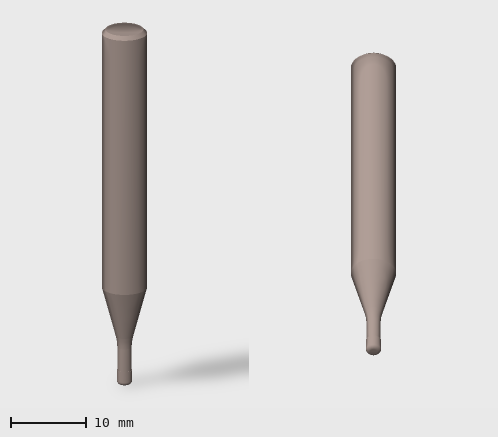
import cadquery as cq
import math

total_length = 50.0
shank_radius = 3.0
shank_chamfer = 0.5
shank_start = 13.65

head_radius = 1.0
head_length = 2.0
head_corner_radius = 0.5

neck_radius = 0.95
neck_end = 5.2
flare_radius = 6.0


def make_cutting_head():
    """Short cylinder with a rounded lower rim and a flat end face."""
    head = cq.Workplane("XY").circle(head_radius).extrude(head_length)
    return head.faces("<Z").edges().fillet(head_corner_radius)


def cone_half_angle():
    """Angle to the axis of the line from the shank corner that is tangent to the flare arc."""
    across = neck_radius + flare_radius - shank_radius
    along = shank_start - neck_end
    distance = math.hypot(across, along)
    return math.asin(flare_radius / distance) - math.atan2(across, along)


def flare_point(angle):
    """Radius and height on the flare arc after it has turned by the given angle."""
    radius = neck_radius + flare_radius * (1 - math.cos(angle))
    height = neck_end + flare_radius * math.sin(angle)
    return radius, height


def make_shank():
    """Neck, tangent flare, cone and chamfered shank turned as one body."""
    half_angle = cone_half_angle()
    profile = (
        cq.Workplane("XZ")
        .moveTo(0, head_length)
        .lineTo(neck_radius, head_length)
        .lineTo(neck_radius, neck_end)
        .threePointArc(flare_point(half_angle / 2), flare_point(half_angle))
        .lineTo(shank_radius, shank_start)
        .lineTo(shank_radius, total_length - shank_chamfer)
        .lineTo(shank_radius - shank_chamfer, total_length)
        .lineTo(0, total_length)
        .close()
    )
    return profile.revolve(360, (0, 0, 0), (0, 1, 0))


cutting_head = make_cutting_head()
shank = make_shank()

result = cq.Compound.makeCompound([cutting_head.val(), shank.val()])